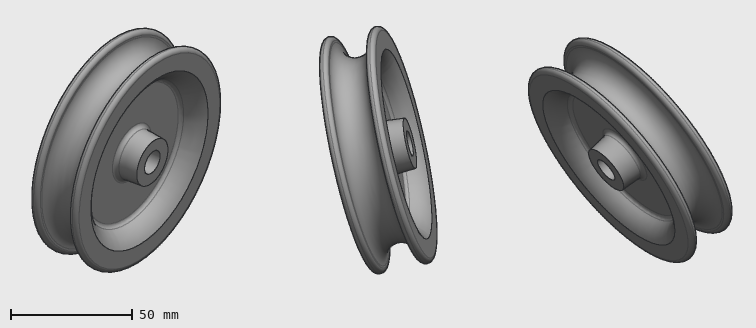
import cadquery as cq
import math

wheel_radius = 50.0
rim_width = 24.0
flange_thickness = 4.0
groove_bottom_radius = 39.1
recess_mouth_radius = 40.0
recess_wall_arc_radius = 13.5
web_thickness = 6.0
web_fillet = 2.0
hub_width = 27.0
hub_face_radius = 10.65
hub_draft_angle = 4.5
bore_radius = 5.3

half_rim = rim_width / 2
half_web = web_thickness / 2
half_hub = hub_width / 2
flange_round = flange_thickness / 2
flange_middle = half_rim - flange_round
flange_shoulder = wheel_radius - flange_round
groove_radius = half_rim - flange_thickness
groove_center = groove_bottom_radius + groove_radius
hub_height = half_hub - half_web
hub_root_radius = hub_face_radius + hub_height * math.tan(math.radians(hub_draft_angle))

wall_center = recess_mouth_radius + math.sqrt(recess_wall_arc_radius**2 - half_rim**2)


def wall_radius_at(x):
    """Distance of the recess wall from the wheel axis at axial position x."""
    return wall_center - math.sqrt(recess_wall_arc_radius**2 - x**2)


def revolve_about_axis(section):
    """Turn a closed XY section a full revolution about the X axis."""
    return section.revolve(360, (0, 0, 0), (1, 0, 0))


def make_rim():
    """Solid disc with two fully rounded flanges and the round rope groove between them."""
    section = (
        cq.Workplane("XY")
        .moveTo(-half_rim, 0)
        .lineTo(-half_rim, flange_shoulder)
        .radiusArc((-flange_middle, wheel_radius), flange_round)
        .radiusArc((-groove_radius, flange_shoulder), flange_round)
        .lineTo(-groove_radius, groove_center)
        .threePointArc((0, groove_bottom_radius), (groove_radius, groove_center))
        .lineTo(groove_radius, flange_shoulder)
        .radiusArc((flange_middle, wheel_radius), flange_round)
        .radiusArc((half_rim, flange_shoulder), flange_round)
        .lineTo(half_rim, 0)
        .close()
    )
    return revolve_about_axis(section)


def make_recess(side):
    """Cutter for the dished recess that leaves the web; side is -1 or 1 along X."""
    middle_x = (half_web + half_rim) / 2
    section = (
        cq.Workplane("XY")
        .moveTo(side * half_web, 0)
        .lineTo(side * half_web, wall_radius_at(half_web))
        .threePointArc(
            (side * middle_x, wall_radius_at(middle_x)),
            (side * half_rim, recess_mouth_radius),
        )
        .lineTo(side * half_rim, 0)
        .close()
    )
    return revolve_about_axis(section)


def make_hub(side):
    """Drafted hub boss standing on the web; side is -1 or 1 along X."""
    section = (
        cq.Workplane("XY")
        .lineTo(0, hub_root_radius)
        .lineTo(side * half_web, hub_root_radius)
        .lineTo(side * half_hub, hub_face_radius)
        .lineTo(side * half_hub, 0)
        .close()
    )
    return revolve_about_axis(section)


def make_bore():
    """Through hole along the wheel axis."""
    return cq.Workplane("YZ").circle(bore_radius).extrude(half_hub, both=True)


def is_web_corner(edge):
    """True for the circles where the web meets the hub or the recess wall."""
    tolerance = 1e-3
    on_web_face = abs(abs(edge.Center().x) - half_web) < tolerance
    corner_radii = (hub_root_radius, wall_radius_at(half_web))
    return on_web_face and any(abs(edge.radius() - radius) < tolerance for radius in corner_radii)


wheel = make_rim()
for side in (-1, 1):
    wheel = wheel.cut(make_recess(side))
for side in (-1, 1):
    wheel = wheel.union(make_hub(side))
wheel = wheel.edges("%CIRCLE").filter(is_web_corner).fillet(web_fillet)

result = wheel.cut(make_bore())